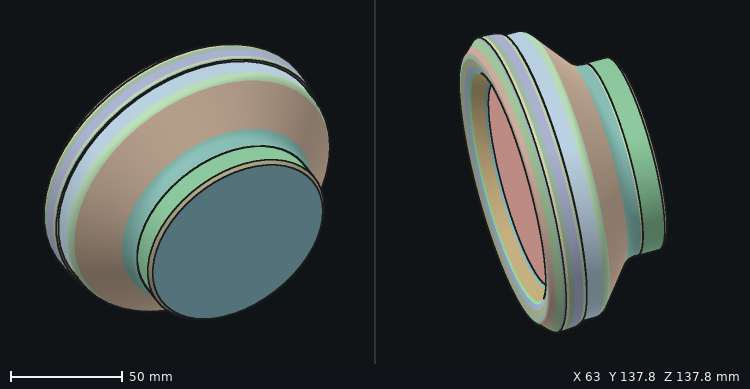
import cadquery as cq
import math


rim_radius = 68.9
rim_rear_x = 16.7
rim_rear_radius = 67.8
rim_edge_x = 15.8
rim_edge_radius = 68.2
rim_taper_end_x = 14.7
rim_taper_end_radius = 68.5
rim_flat_start_x = 8.0
rim_flat_end_x = 10.5
bevel_shoulder_x = 6.5
bevel_shoulder_radius = 68.8
bevel_rear_x = 5.5
bevel_rear_radius = 68.0
bevel_front_x = 2.6
bevel_front_radius = bevel_rear_radius - (bevel_rear_x - bevel_front_x)
crest_radius = 62.1
crest_inner_radius = 60.6
dish_break_radius = 56.9
dish_break_depth = 0.8
dish_radius = 54.3
dish_depth = 1.8
lip_radius = 53.2
lip_depth = 2.6
wall_end_radius = 48.6
wall_end_depth = 7.7
floor_radius = 47.7
floor_depth = 9.0

flange_radius = 133.5 / 2
cone_angle = math.radians(50)
shoulder_start_x = 24.7
shoulder_round = 5.1
neck_radius = 89.5 / 2
neck_end_x = 51.0
neck_round = 9.6
collar_radius = 90.0 / 2
collar_end_x = 63.0
collar_chamfer = 1.7


def revolve_about_x(profile):
    return profile.close().revolve(360, (0, 0, 0), (1, 0, 0))


def make_rim():
    """Bevelled ring with a dished front face and a tapering bore."""
    profile = (
        cq.Workplane("XY")
        .moveTo(rim_rear_x, floor_radius)
        .lineTo(rim_rear_x, rim_rear_radius)
        .lineTo(rim_edge_x, rim_edge_radius)
        .lineTo(rim_taper_end_x, rim_taper_end_radius)
        .lineTo(rim_flat_end_x, rim_radius)
        .lineTo(rim_flat_start_x, rim_radius)
        .lineTo(bevel_shoulder_x, bevel_shoulder_radius)
        .lineTo(bevel_rear_x, bevel_rear_radius)
        .lineTo(bevel_front_x, bevel_front_radius)
        .spline([(0, crest_radius)], tangents=[(-1, -1), (0, -1)], includeCurrent=True)
        .lineTo(0, crest_inner_radius)
        .lineTo(dish_break_depth, dish_break_radius)
        .lineTo(dish_depth, dish_radius)
        .lineTo(lip_depth, lip_radius)
        .lineTo(wall_end_depth, wall_end_radius)
        .lineTo(floor_depth, floor_radius)
    )
    return revolve_about_x(profile)


def arc_offset(radius, angle):
    """Axial run and radial drop of an arc that turns from axial to the given angle."""
    return radius * math.sin(angle), radius * (1 - math.cos(angle))


def make_housing():
    """Solid body with a front spigot in the rim, a conical shoulder and a rear collar."""
    run, drop = arc_offset(shoulder_round, cone_angle)
    mid_run, mid_drop = arc_offset(shoulder_round, cone_angle / 2)
    neck_run, neck_drop = arc_offset(neck_round, cone_angle)
    neck_mid_run, neck_mid_drop = arc_offset(neck_round, cone_angle / 2)

    cone_start_x = shoulder_start_x + run
    cone_start_radius = flange_radius - drop
    cone_end_radius = neck_radius + neck_drop
    cone_end_x = cone_start_x + (cone_start_radius - cone_end_radius) / math.tan(cone_angle)
    neck_start_x = cone_end_x + neck_run

    profile = (
        cq.Workplane("XY")
        .moveTo(floor_depth, 0)
        .lineTo(floor_depth, floor_radius)
        .lineTo(rim_rear_x, floor_radius)
        .lineTo(rim_rear_x, flange_radius)
        .lineTo(shoulder_start_x, flange_radius)
        .threePointArc(
            (shoulder_start_x + mid_run, flange_radius - mid_drop),
            (cone_start_x, cone_start_radius),
        )
        .lineTo(cone_end_x, cone_end_radius)
        .threePointArc(
            (neck_start_x - neck_mid_run, neck_radius + neck_mid_drop),
            (neck_start_x, neck_radius),
        )
        .lineTo(neck_end_x, neck_radius)
        .lineTo(neck_end_x, collar_radius)
        .lineTo(collar_end_x - collar_chamfer, collar_radius)
        .lineTo(collar_end_x, collar_radius - collar_chamfer)
        .lineTo(collar_end_x, 0)
    )
    return revolve_about_x(profile)


rim = make_rim()
housing = make_housing()

result = cq.Compound.makeCompound([rim.val(), housing.val()])